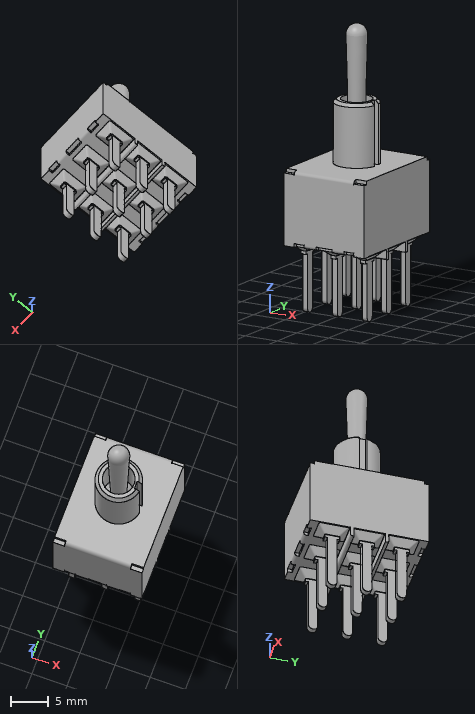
import cadquery as cq
import math

BODY_X = 12.7
BODY_Y = 16.51
BODY_Z = 10.58
COVER_THICKNESS = 0.5
COVER_BEND = 0.62
FLAP_WIDTH = 9.4
FLAP_GAP = 0.53
TAB_WIDTH = 1.9
TAB_OFFSET = 2.2
TAB_BEND = 0.43

BUSHING_DIAMETER = 6.35
BUSHING_LENGTH = 8.84
BUSHING_CHAMFER = 0.45
BORE_DIAMETER = 4.35
BORE_DEPTH = 6.5
KEYWAY_WIDTH = 1.06
KEYWAY_FLOOR = 2.43

TOTAL_HEIGHT = 39.44
LEVER_TIP_DIAMETER = 2.96
LEVER_NECK_DIAMETER = 2.2

PITCH_X = 4.7
PITCH_Y = 4.83
PIN_LENGTH = 9.62
PIN_THICKNESS = 0.8
PIN_WIDTH = 1.33
SHOULDER_WIDTH = 2.1
SHOULDER_DEPTH = 1.44
SEAL_DEPTH = 0.97
SEAL_TOP_X = 2.95
SEAL_TOP_Y = 4.26
SEAL_BOTTOM_X = 1.0
SEAL_BOTTOM_Y = SHOULDER_WIDTH
SEAL_CORNER_RADIUS = 0.35

RIB_THICKNESS = 0.5
RIB_DEPTH = 1.44
RIB_ROUND = 0.25

BUSHING_TOP = BODY_Z + BUSHING_LENGTH
TIP_Z = TOTAL_HEIGHT - PIN_LENGTH


def box(size_x, size_y, bottom, top, x=0.0, y=0.0):
    """Upright box centred on (x, y) between two heights."""
    block = cq.Workplane("XY").box(size_x, size_y, top - bottom, centered=(True, True, False))
    return block.translate((x, y, bottom))


def make_body():
    inner_y = BODY_Y - 2 * COVER_BEND
    case = box(BODY_X, BODY_Y, 0, BODY_Z - COVER_THICKNESS)
    recess = box(FLAP_WIDTH, BODY_Y, 0, BODY_Z).cut(box(FLAP_WIDTH, inner_y, 0, BODY_Z))
    cover = box(BODY_X, inner_y, BODY_Z - COVER_THICKNESS, BODY_Z)
    flaps = box(FLAP_WIDTH, BODY_Y, FLAP_GAP, BODY_Z).faces(">Z").edges("|X").fillet(COVER_BEND)
    body = case.cut(recess).union(cover).union(flaps)
    for x in (-TAB_OFFSET, TAB_OFFSET):
        tab = box(TAB_WIDTH, BODY_Y, 0, BODY_Z / 2, x=x).faces("<Z").edges("|X").fillet(TAB_BEND)
        body = body.union(tab)
    return body


def make_bushing():
    bushing = cq.Workplane("XY", origin=(0, 0, BODY_Z)).circle(BUSHING_DIAMETER / 2)
    bushing = bushing.extrude(BUSHING_LENGTH)
    bushing = bushing.faces(">Z").edges().chamfer(BUSHING_CHAMFER)
    bore = cq.Workplane("XY", origin=(0, 0, BUSHING_TOP)).circle(BORE_DIAMETER / 2).extrude(-BORE_DEPTH)
    keyway_length = BUSHING_DIAMETER
    keyway_x = KEYWAY_FLOOR + keyway_length / 2
    keyway = box(keyway_length, KEYWAY_WIDTH, BODY_Z, BUSHING_TOP, x=keyway_x)
    return bushing.cut(bore).cut(keyway)


def make_lever():
    """Revolved lever whose pivot dome fills the floor of the bore."""
    floor_z = BUSHING_TOP - BORE_DEPTH
    dome_radius = BORE_DIAMETER / 2
    neck_radius = LEVER_NECK_DIAMETER / 2
    tip_radius = LEVER_TIP_DIAMETER / 2
    neck_angle = math.asin(neck_radius / dome_radius)
    middle_angle = (neck_angle + math.pi / 2) / 2
    neck_z = floor_z + dome_radius * math.cos(neck_angle)
    dome_middle = (dome_radius * math.sin(middle_angle), floor_z + dome_radius * math.cos(middle_angle))
    shaft_top = TIP_Z - tip_radius
    tip_middle = (tip_radius * math.sqrt(0.5), shaft_top + tip_radius * math.sqrt(0.5))
    profile = (
        cq.Workplane("XZ")
        .moveTo(0, floor_z)
        .lineTo(dome_radius, floor_z)
        .threePointArc(dome_middle, (neck_radius, neck_z))
        .lineTo(tip_radius, shaft_top)
        .threePointArc(tip_middle, (0, TIP_Z))
        .close()
    )
    return profile.revolve(360, (0, 0, 0), (0, 1, 0))


def make_terminal():
    seal = (
        cq.Workplane("XY")
        .rect(SEAL_TOP_X, SEAL_TOP_Y)
        .workplane(offset=-SEAL_DEPTH)
        .rect(SEAL_BOTTOM_X, SEAL_BOTTOM_Y)
        .loft(ruled=True)
        .edges("not #Z")
        .fillet(SEAL_CORNER_RADIUS)
    )
    shoulder = box(PIN_THICKNESS, SHOULDER_WIDTH, -SHOULDER_DEPTH, 0)
    half_width = PIN_WIDTH / 2
    pin = (
        cq.Workplane("YZ", origin=(-PIN_THICKNESS / 2, 0, 0))
        .moveTo(-half_width, 0)
        .lineTo(-half_width, half_width - PIN_LENGTH)
        .threePointArc((0, -PIN_LENGTH), (half_width, half_width - PIN_LENGTH))
        .lineTo(half_width, 0)
        .close()
        .extrude(PIN_THICKNESS)
    )
    return seal.union(shoulder).union(pin)


def make_rib(side):
    """Full-width rib; its lower edge is rounded on the side facing outward."""
    rib = box(BODY_X, RIB_THICKNESS, -RIB_DEPTH, 0, y=side * PITCH_Y / 2)
    outward = ">Y" if side > 0 else "<Y"
    return rib.faces(outward).edges("<Z").fillet(RIB_ROUND)


result = make_body().union(make_bushing()).union(make_lever())
terminal = make_terminal()
for column in (-1, 0, 1):
    for row in (-1, 0, 1):
        result = result.union(terminal.translate((column * PITCH_X, row * PITCH_Y, 0)))
for side in (-1, 1):
    result = result.union(make_rib(side))